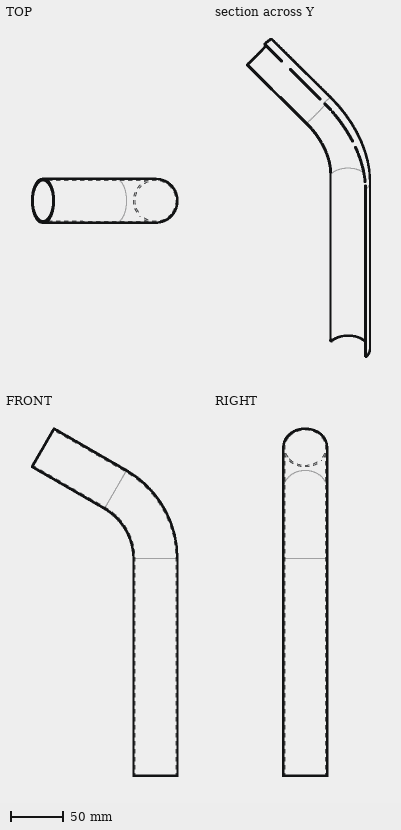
import cadquery as cq
import math

outer_diameter = 42.0
wall = 1.5
outer_radius = outer_diameter / 2
inner_radius = outer_radius - wall

total_height = 331.2
bend_radius = 76.2
bend_angle = 60
upper_length = 79.8

angle = math.radians(bend_angle)
bend_rise = bend_radius * math.sin(angle)
bend_reach = bend_radius * (1 - math.cos(angle))
upper_rise = upper_length * math.cos(angle) + outer_radius * math.sin(angle)
lower_length = total_height - bend_rise - upper_rise


def tube_section(plane):
    """Ring-shaped tube section centred on the given plane."""
    return cq.Workplane(plane).circle(outer_radius).circle(inner_radius)


lower_leg = tube_section("XY").extrude(lower_length)

bend_start = cq.Plane(origin=(0, 0, lower_length))
bend = tube_section(bend_start).revolve(
    bend_angle, (-bend_radius, 0, 0), (-bend_radius, -1, 0)
)

bend_end = cq.Plane(
    origin=(-bend_reach, 0, lower_length + bend_rise),
    xDir=(0, 1, 0),
    normal=(-math.sin(angle), 0, math.cos(angle)),
)
upper_leg = tube_section(bend_end).extrude(upper_length)

result = lower_leg.union(bend).union(upper_leg)